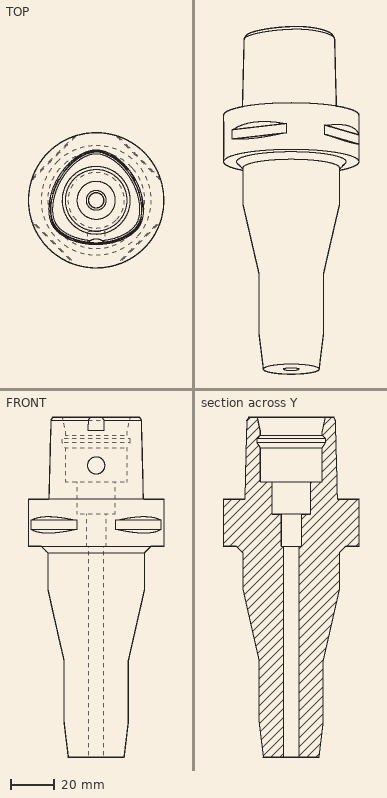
import cadquery as cq
import math


shank_height = 38.0
shank_diameter = 44.0
shank_lobe = 1.4
lobe_count = 3
shank_taper = 1 / 20
tip_chamfer_height = 1.5
tip_chamfer_angle = 30.0
curve_points = 36

flange_diameter = 63.0
flange_thickness = 22.0
collar_top_diameter = 51.0
collar_diameter = 45.0
collar_bottom = -42.0
nose_diameter = 30.0
nose_top = -75.0
tip_top = -103.5
tip_diameter = 26.0
nose_bottom = -120.0

slot_center = -12.0
slot_width = 4.4
slot_floor_distance = 27.7
slot_flare_distance = 28.2
slot_flare_angle = 26.0
slot_count = 4

mouth_diameter = 31.5
bore_diameter = 28.6
mouth_depth = 6.6
lip_end_depth = 8.4
groove_diameter = 31.6
groove_floor_end_depth = 11.8
groove_end_depth = 14.2
bore_depth = 30.0
step_diameter = 17.7
step_depth = 45.0
pilot_diameter = 9.2
pilot_depth = 60.0
through_diameter = 7.0

notch_radius = 5.0
notch_innermost = 17.9
notch_depth = 6.2
side_hole_diameter = 8.0
side_hole_depth = 5.7
side_hole_below_tip = 22.4


def shank_width(z):
    return shank_diameter - shank_taper * z


def polygon_section(z, width):
    """Three-lobed curve of constant width, with one lobe pointing to +Y."""

    def point(angle):
        lobe_angle = lobe_count * (angle - math.pi / 2)
        support = width / 2 + shank_lobe * math.cos(lobe_angle)
        slope = -lobe_count * shank_lobe * math.sin(lobe_angle)
        x = support * math.cos(angle) - slope * math.sin(angle)
        y = support * math.sin(angle) + slope * math.cos(angle)
        return (x, y)

    step = 2 * math.pi / curve_points
    points = [point(i * step - math.pi / 2) for i in range(curve_points)]
    return cq.Workplane("XY", origin=(0, 0, z)).spline(points, periodic=True).close().val()


def make_shank():
    chamfer_start = shank_height - tip_chamfer_height
    chamfer_inset = tip_chamfer_height * math.tan(math.radians(tip_chamfer_angle))
    base = polygon_section(0, shank_width(0))
    shoulder = polygon_section(chamfer_start, shank_width(chamfer_start))
    tip = polygon_section(shank_height, shank_width(chamfer_start) - 2 * chamfer_inset)
    taper = cq.Solid.makeLoft([base, shoulder], True)
    chamfer = cq.Solid.makeLoft([shoulder, tip], True)
    return cq.Workplane(taper).union(cq.Workplane(chamfer))


def revolve_profile(profile):
    """Turn a list of (diameter, z) corners about the Z axis."""
    corners = [(diameter / 2, z) for diameter, z in profile]
    outline = [(0, corners[0][1])] + corners + [(0, corners[-1][1])]
    return cq.Workplane("XZ").polyline(outline).close().revolve(360, (0, 0), (0, 1))


def make_flange_and_nose():
    collar_chamfer_end = -flange_thickness - (collar_top_diameter - collar_diameter) / 2
    return revolve_profile([
        (flange_diameter, 0),
        (flange_diameter, -flange_thickness),
        (collar_top_diameter, -flange_thickness),
        (collar_diameter, collar_chamfer_end),
        (collar_diameter, collar_bottom),
        (nose_diameter, nose_top),
        (nose_diameter, tip_top),
        (tip_diameter, nose_bottom),
    ])


def make_bore():
    lip_chamfer = (groove_diameter - bore_diameter) / 2
    depth_profile = [
        (mouth_diameter, 0),
        (bore_diameter, mouth_depth),
        (bore_diameter, lip_end_depth),
        (groove_diameter, lip_end_depth + lip_chamfer),
        (groove_diameter, groove_floor_end_depth),
        (bore_diameter, groove_end_depth),
        (bore_diameter, bore_depth),
        (step_diameter, bore_depth),
        (step_diameter, step_depth),
        (pilot_diameter, step_depth),
        (pilot_diameter, pilot_depth),
        (through_diameter, pilot_depth),
        (through_diameter, shank_height - nose_bottom),
    ]
    return revolve_profile([(diameter, shank_height - depth) for diameter, depth in depth_profile])


def make_gripper_slot(direction):
    """Straight slot across the flange rim with walls that flare open towards the outside."""
    rim = flange_diameter / 2
    half_width = slot_width / 2
    flare = (rim - slot_flare_distance) * math.tan(math.radians(slot_flare_angle))
    half_profile = [
        (slot_floor_distance, half_width),
        (slot_flare_distance, half_width),
        (rim, half_width + flare),
    ]
    mirrored = [(distance, -height) for distance, height in reversed(half_profile)]
    slot = (
        cq.Workplane("XZ")
        .polyline(half_profile + mirrored)
        .close()
        .extrude(rim, both=True)
    )
    return slot.translate((0, 0, slot_center)).rotate((0, 0, 0), (0, 0, 1), direction)


def make_notch():
    return (
        cq.Workplane("XY", origin=(0, 0, shank_height - notch_depth))
        .center(0, -notch_innermost - notch_radius)
        .circle(notch_radius)
        .extrude(notch_depth)
    )


def make_side_hole():
    hole_z = shank_height - side_hole_below_tip
    hole_floor = shank_width(hole_z) / 2 - shank_lobe - side_hole_depth
    return (
        cq.Workplane("XZ", origin=(0, -hole_floor, hole_z))
        .circle(side_hole_diameter / 2)
        .extrude(shank_diameter / 2)
    )


result = make_flange_and_nose().union(make_shank())
result = result.cut(make_bore()).cut(make_notch()).cut(make_side_hole())
for index in range(slot_count):
    result = result.cut(make_gripper_slot((index + 0.5) * 360 / slot_count))